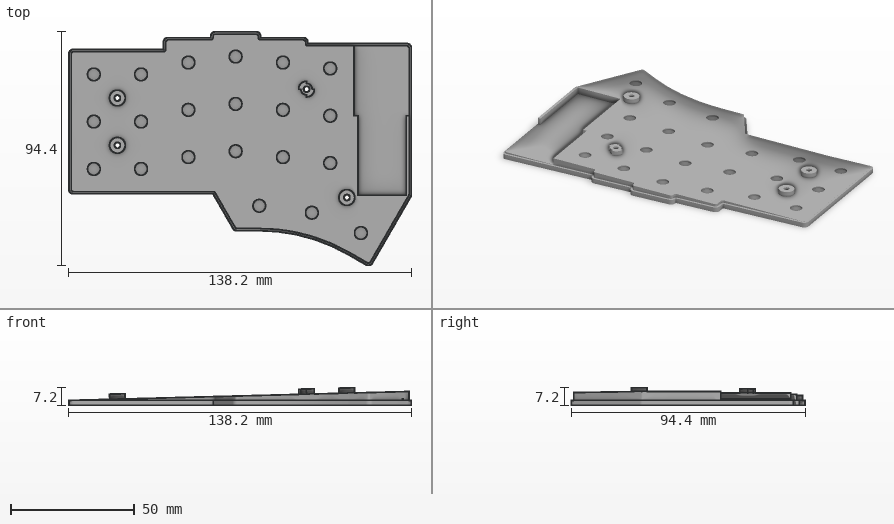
import cadquery as cq
import math

total_length = 138.2
total_height = 7.2

key_pitch = 19.1
key_border = 10.1
row_count = 3
stagger_step = key_pitch / 8
column_stagger = [0, 0, 2 * stagger_step, 3 * stagger_step, 2 * stagger_step, stagger_step]
thumb_arc_radius = 71.9
thumb_angles = [0, 15, 30]
thumb_flank_angle = 60

base_thickness = 2.1
slope_angle = 1.5
key_recess_depth = 0.7
bay_depth = 2.9

body_inset = 1.0
corner_radius = 2.0

key_recess_diameter = 5.1
boss_diameter = 6.4
notched_boss_core_diameter = 4.5
screw_hole_diameter = 2.3

boss_fan_offset = 20.5
boss_fan_angle = (thumb_angles[1] + thumb_angles[2]) / 2

bay_bottom = -0.4
bay_rim_top = 31.5
bay_narrow_left = 116.6
bay_narrow_right = 136.1

thumb_x = key_border + 3.5 * key_pitch
thumb_y = -key_pitch / 4
thumb_bottom = thumb_y - key_border
fan_center_y = thumb_bottom - thumb_arc_radius

tall = 27.6


def column_x(column):
    return key_border + column * key_pitch


def key_y(column, row):
    return key_border + row * key_pitch + column_stagger[math.floor(column)]


def column_top(column):
    return key_y(column, row_count - 1) + key_border


def fan_point(radius, angle):
    turn = math.radians(angle)
    return (thumb_x + radius * math.sin(turn), fan_center_y + radius * math.cos(turn))


second_step_x = column_x(2) - key_border
third_step_x = column_x(3) - key_border
fourth_step_x = column_x(3) + key_border
fifth_step_x = column_x(4) + key_border
thumb_left = thumb_x - key_border
flank_slope = math.tan(math.radians(thumb_flank_angle))
main_bottom_right = thumb_left + thumb_bottom / flank_slope
arc_middle = fan_point(thumb_arc_radius, thumb_angles[1])
arc_end = fan_point(thumb_arc_radius, thumb_angles[2])
last_turn = math.radians(thumb_angles[2])
tip = (arc_end[0] + key_border * math.cos(last_turn), arc_end[1] - key_border * math.sin(last_turn))
right_edge_bottom = tip[1] + (total_length - tip[0]) * flank_slope

convex_corners = [
    (0, 0),
    (0, column_top(0)),
    (second_step_x, column_top(2)),
    (third_step_x, column_top(3)),
    (fourth_step_x, column_top(3)),
    (fifth_step_x, column_top(4)),
    (total_length, column_top(5)),
    (total_length, right_edge_bottom),
    tip,
    (thumb_left, thumb_bottom),
]


def outline_plate(height):
    """Plate with the full keyboard outline and rounded outward corners."""
    plate = (
        cq.Workplane("XY")
        .moveTo(0, 0)
        .lineTo(0, column_top(0))
        .lineTo(second_step_x, column_top(0))
        .lineTo(second_step_x, column_top(2))
        .lineTo(third_step_x, column_top(2))
        .lineTo(third_step_x, column_top(3))
        .lineTo(fourth_step_x, column_top(3))
        .lineTo(fourth_step_x, column_top(4))
        .lineTo(fifth_step_x, column_top(4))
        .lineTo(fifth_step_x, column_top(5))
        .lineTo(total_length, column_top(5))
        .lineTo(total_length, right_edge_bottom)
        .lineTo(*tip)
        .lineTo(*arc_end)
        .threePointArc(arc_middle, (thumb_x, thumb_bottom))
        .lineTo(thumb_left, thumb_bottom)
        .lineTo(main_bottom_right, 0)
        .close()
        .extrude(height)
    )
    for x, y in convex_corners:
        plate = plate.edges(cq.selectors.NearestToPointSelector((x, y, height / 2))).fillet(corner_radius)
    return plate


def tilt(shape):
    """Lean a shape built on Z = 0 so that Z = 0 becomes the sloped top of the body."""
    return shape.rotate((0, 0, 0), (0, 1, 0), -slope_angle).translate((0, 0, base_thickness))


def cylinders(centers, diameter, bottom, height):
    return cq.Workplane("XY").workplane(offset=bottom).pushPoints(centers).circle(diameter / 2).extrude(height)


def box(left, right, bottom, top, floor):
    """Tall block standing on Z = floor."""
    return cq.Workplane("XY").box(right - left, top - bottom, tall, centered=False).translate((left, bottom, floor))


base = outline_plate(base_thickness)
body = base.faces("<Z").wires().toPending().offset2D(-body_inset).extrude(tall, combine=False)
above_slope = box(-total_length, 2 * total_length, -total_length, total_length, 0)
body = body.cut(tilt(above_slope))

keys = [(column_x(c), key_y(c, r)) for c in range(len(column_stagger)) for r in range(row_count)]
keys += [fan_point(thumb_arc_radius + key_border, angle) for angle in thumb_angles]
key_recesses = cylinders(keys, key_recess_diameter, -key_recess_depth, tall)

thumb_boss = fan_point(thumb_arc_radius + boss_fan_offset, boss_fan_angle)
round_bosses = [(column_x(0.5), key_y(0, 0.5)), (column_x(0.5), key_y(0, 1.5)), thumb_boss]
notched_boss = (column_x(4.5), (key_y(4, 1.5) + key_y(5, 1.5)) / 2)
slope = math.radians(slope_angle)
highest_rise = (thumb_boss[0] + boss_diameter / 2) * math.sin(slope)
boss_height = (total_height - base_thickness - highest_rise) / math.cos(slope)
bosses = cylinders(round_bosses, boss_diameter, 0, boss_height)

notch_x, notch_y = notched_boss
wings = (
    cylinders([notched_boss], boss_diameter, 0, boss_height)
    .cut(box(notch_x, notch_x + boss_diameter, notch_y, notch_y + boss_diameter, 0))
    .cut(box(notch_x - boss_diameter, notch_x, notch_y - boss_diameter, notch_y, 0))
)
core = cylinders([notched_boss], notched_boss_core_diameter, 0, boss_height)
bosses = bosses.union(wings).union(core)

bay = box(bay_narrow_left, bay_narrow_right, bay_bottom, bay_rim_top, -bay_depth).union(
    box(column_x(5.5), total_length, bay_rim_top, column_top(5), -bay_depth)
)

screw_holes = cylinders(round_bosses + [notched_boss], screw_hole_diameter, -tall, 2 * tall)

result = (
    base.union(body)
    .cut(tilt(key_recesses))
    .cut(tilt(bay))
    .union(tilt(bosses))
    .cut(tilt(screw_holes))
)